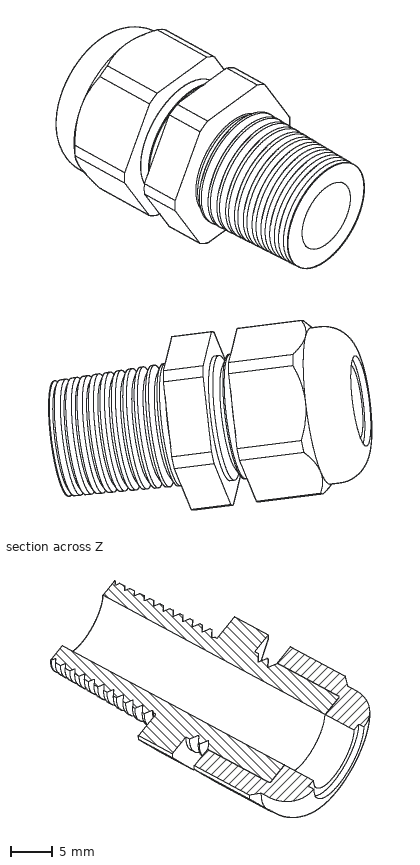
import cadquery as cq
import math


total_length = 37.08
nut_end = 13.98
wrench_hex_start = 17.13
wrench_hex_end = 22.05

across_flats = 19.05
hex_corner_radius = 10.55

dome_radius = 3.82
collar_radius = across_flats / 2
collar_end = 4.97
mouth_radius = 5.5
mouth_depth = 0.75
bore_radius = 4.45

groove_half_angle = math.radians(30)
root_radius = 6.53

nut_thread_radius = 7.6
nut_thread_pitch = 1.4
nut_thread_first_root = 14.57
nut_thread_grooves = 2

pipe_thread_first_root = 22.7
pipe_thread_last_root = 36.67
pipe_thread_grooves = 11
pipe_thread_pitch = (pipe_thread_last_root - pipe_thread_first_root) / (pipe_thread_grooves - 1)
pipe_thread_start_radius = 7.5
pipe_thread_taper = 1 / 32
neck_radius = 6.75
neck_end = 22.35

groove_cut_radius = 8.15


def cylinder(start, end, radius):
    return cq.Workplane("YZ", origin=(start, 0, 0)).circle(radius).extrude(end - start)


def revolve_about_x(profile):
    return profile.close().revolve(360, (0, 0, 0), (1, 0, 0))


def rounded_hexagon(start, end):
    """Hexagonal bar with flats at +Z and -Z and its six corners rounded off."""
    across_corners = across_flats / math.cos(math.pi / 6)
    hexagon = cq.Workplane("YZ", origin=(start, 0, 0)).polygon(6, across_corners).extrude(end - start)
    return hexagon.intersect(cylinder(start, end, hex_corner_radius))


def thread_groove(root_x):
    """Ring with a V section whose tip lies on the thread root."""
    half_width = (groove_cut_radius - root_radius) * math.tan(groove_half_angle)
    return revolve_about_x(
        cq.Workplane("XY")
        .moveTo(root_x, root_radius)
        .lineTo(root_x + half_width, groove_cut_radius)
        .lineTo(root_x - half_width, groove_cut_radius)
    )


def cut_grooves(blank, first_root, pitch, count):
    for index in range(count):
        blank = blank.cut(thread_groove(first_root + index * pitch))
    return blank


def make_sealing_nut():
    cone_end = collar_end + hex_corner_radius - collar_radius
    arc_inset = dome_radius * (1 - math.sqrt(0.5))
    envelope = revolve_about_x(
        cq.Workplane("XY")
        .moveTo(0, 0)
        .lineTo(0, collar_radius - dome_radius)
        .threePointArc((arc_inset, collar_radius - arc_inset), (dome_radius, collar_radius))
        .lineTo(collar_end, collar_radius)
        .lineTo(cone_end, hex_corner_radius)
        .lineTo(nut_end, hex_corner_radius)
        .lineTo(nut_end, 0)
    )
    nut = envelope.intersect(rounded_hexagon(0, nut_end))
    nut = nut.cut(cylinder(0, nut_end, bore_radius))
    nut = nut.cut(cylinder(0, mouth_depth, mouth_radius))
    return nut.cut(cylinder(collar_end, nut_end, nut_thread_radius))


def make_nut_thread():
    """End of the body that fills the nut, ring threaded where it leaves the nut."""
    blank = cylinder(collar_end, wrench_hex_start, nut_thread_radius)
    return cut_grooves(blank, nut_thread_first_root, nut_thread_pitch, nut_thread_grooves)


def make_pipe_thread():
    """Short neck that slopes down to a tapered ring thread, whose roots all lie on one cylinder."""
    end_radius = pipe_thread_start_radius - pipe_thread_taper * (total_length - pipe_thread_first_root)
    blank = revolve_about_x(
        cq.Workplane("XY")
        .moveTo(wrench_hex_end, 0)
        .lineTo(wrench_hex_end, neck_radius)
        .lineTo(neck_end, neck_radius)
        .lineTo(pipe_thread_first_root, root_radius)
        .lineTo(pipe_thread_first_root, pipe_thread_start_radius)
        .lineTo(total_length, end_radius)
        .lineTo(total_length, 0)
    )
    return cut_grooves(blank, pipe_thread_first_root, pipe_thread_pitch, pipe_thread_grooves)


def make_gland_body():
    body = rounded_hexagon(wrench_hex_start, wrench_hex_end)
    body = body.union(make_nut_thread())
    body = body.union(make_pipe_thread())
    return body.cut(cylinder(collar_end, total_length, bore_radius))


sealing_nut = make_sealing_nut()
gland_body = make_gland_body()

result = cq.Compound.makeCompound([sealing_nut.solids().val(), gland_body.solids().val()])